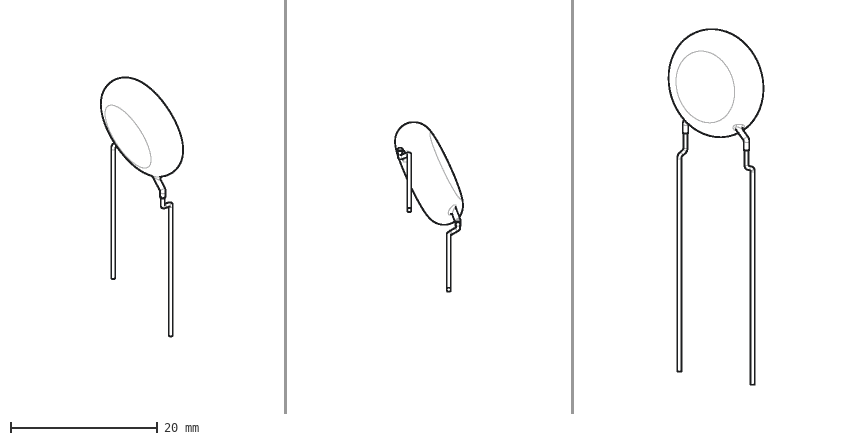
import cadquery as cq
import math

BODY_DIAMETER = 15.0
BODY_THICKNESS = 5.0
BODY_RADIUS = BODY_DIAMETER / 2
HALF_THICKNESS = BODY_THICKNESS / 2
FACE_RADIUS = BODY_RADIUS - HALF_THICKNESS

OVERALL_HEIGHT = 49.0
LEAD_DIAMETER = 0.6
LEAD_PITCH = 12.5
LEAD_OFFSET_Y = 1.4
LEAD_BOTTOM_Z = BODY_RADIUS - OVERALL_HEIGHT

COATING_DIAMETER = 0.8
COATING_BOTTOM_Z = -8.2
SHOULDER_Z = -7.0
SHOULDER_BEND_RADIUS = 0.6
ENTRY_ANGLE_DEGREES = 45
ENTRY_ANGLE = math.radians(ENTRY_ANGLE_DEGREES)
ENTRY_LENGTH = 3.0
ROOT_FILLET_RADIUS = 0.4
RIM_SEAM_ANGLE = 180 - ENTRY_ANGLE_DEGREES

CRIMP_START_Z = -10.3
CRIMP_END_Z = -11.5
CRIMP_BEND_RADIUS = 0.5


def make_body():
    """Disc with a full-round rim, revolved about the Y axis."""
    profile = (
        cq.Workplane("XY")
        .moveTo(0, -HALF_THICKNESS)
        .lineTo(FACE_RADIUS, -HALF_THICKNESS)
        .threePointArc((BODY_RADIUS, 0), (FACE_RADIUS, HALF_THICKNESS))
        .lineTo(0, HALF_THICKNESS)
        .close()
    )
    disc = profile.revolve(360, (0, 0, 0), (0, 1, 0))
    return disc.rotate((0, 0, 0), (0, 1, 0), RIM_SEAM_ANGLE)


def bend_step(before, after, radius):
    """Displacement along an arc that turns from one unit direction to another."""
    turn = before.getAngle(after)
    return (before + after) * (radius * math.tan(turn / 2))


def sweep_wire(start, edges, diameter):
    """Round wire following edges that leave the start point along Z."""
    path = cq.Workplane(cq.Wire.assembleEdges(edges))
    section = cq.Workplane("XY", origin=start.toTuple()).circle(diameter / 2)
    return section.sweep(path)


def make_coating():
    """Coated stretch on the +X side: up from its lower end, over the shoulder and into the body."""
    x = LEAD_PITCH / 2
    y = -LEAD_OFFSET_Y
    up = cq.Vector(0, 0, 1)
    inward = cq.Vector(-math.sin(ENTRY_ANGLE), 0, math.cos(ENTRY_ANGLE))

    start = cq.Vector(x, y, COATING_BOTTOM_Z)
    shoulder = cq.Vector(x, y, SHOULDER_Z)
    entry = shoulder + bend_step(up, inward, SHOULDER_BEND_RADIUS)
    edges = [
        cq.Edge.makeLine(start, shoulder),
        cq.Edge.makeTangentArc(shoulder, up, entry),
        cq.Edge.makeLine(entry, entry + inward * ENTRY_LENGTH),
    ]
    return sweep_wire(start, edges, COATING_DIAMETER)


def crimp_slant_angle():
    """Angle from vertical of the straight that is tangent to both crimp bends."""
    drop = CRIMP_START_Z - CRIMP_END_Z
    centre_gap_y = LEAD_OFFSET_Y - 2 * CRIMP_BEND_RADIUS
    centre_distance = math.hypot(centre_gap_y, drop)
    return math.atan2(centre_gap_y, drop) + math.asin(2 * CRIMP_BEND_RADIUS / centre_distance)


def make_lead():
    """Bare wire on the +X side, from the coating down through the crimp to the free end."""
    x = LEAD_PITCH / 2
    y = -LEAD_OFFSET_Y
    slant_angle = crimp_slant_angle()
    down = cq.Vector(0, 0, -1)
    slant = cq.Vector(0, math.sin(slant_angle), -math.cos(slant_angle))
    step = bend_step(down, slant, CRIMP_BEND_RADIUS)

    start = cq.Vector(x, y, COATING_BOTTOM_Z)
    crimp_start = cq.Vector(x, y, CRIMP_START_Z)
    slant_start = crimp_start + step
    crimp_end = cq.Vector(x, 0, CRIMP_END_Z)
    slant_end = crimp_end - step
    edges = [
        cq.Edge.makeLine(start, crimp_start),
        cq.Edge.makeTangentArc(crimp_start, down, slant_start),
        cq.Edge.makeLine(slant_start, slant_end),
        cq.Edge.makeTangentArc(slant_end, slant, crimp_end),
        cq.Edge.makeLine(crimp_end, cq.Vector(x, 0, LEAD_BOTTOM_Z)),
    ]
    return sweep_wire(start, edges, LEAD_DIAMETER)


def turn_half(part):
    """Copy of a part turned half a turn about the Z axis."""
    return part.rotate((0, 0, 0), (0, 0, 1), 180)


def attach_coating(part, coating):
    """Join a coated stretch to the body and blend its root into the rim."""
    joined = part.union(coating)
    coating_x = coating.val().Center().x
    root = [edge for edge in joined.edges("%BSPLINE").vals() if edge.Center().x * coating_x > 0]
    return joined.newObject(root).fillet(ROOT_FILLET_RADIUS)


right_coating = make_coating()
right_lead = make_lead()

result = make_body()
for coating in (right_coating, turn_half(right_coating)):
    result = attach_coating(result, coating)
for lead in (right_lead, turn_half(right_lead)):
    result = result.union(lead)